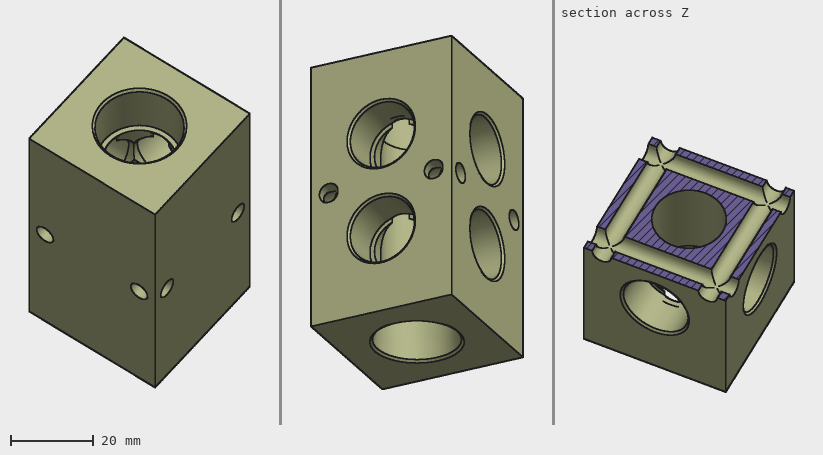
import cadquery as cq

width = 38.1
height = 69.85

passage_diameter = 17.9
end_mouth_diameter = 22.8
end_rim_diameter = 21.5
end_floor_diameter = 20.75
end_depth = 13.7

side_mouth_diameter = 18.5
side_rim_diameter = 17.3
side_floor_diameter = 16.7
side_depth = 10.4
side_drill_diameter = 14.25
side_spacing = 25.6

mount_diameter = 5.0
mount_spacing = 28.4


def tapered_port(mouth_diameter, rim_diameter, floor_diameter, depth):
    """Port cutter with its mouth at Z = 0, going down: 45 degree chamfer, then a taper."""
    chamfer = (mouth_diameter - rim_diameter) / 2
    return (
        cq.Workplane("XZ")
        .moveTo(0, 0)
        .lineTo(mouth_diameter / 2, 0)
        .lineTo(rim_diameter / 2, -chamfer)
        .lineTo(floor_diameter / 2, -depth)
        .lineTo(0, -depth)
        .close()
        .revolve(360, (0, 0, 0), (0, 1, 0))
    )


def side_port():
    """Side port cutter, with a drilling that reaches the main passage axis."""
    taper = tapered_port(side_mouth_diameter, side_rim_diameter, side_floor_diameter, side_depth)
    drilling = cq.Workplane("XY").circle(side_drill_diameter / 2).extrude(-width / 2)
    return taper.union(drilling)


result = cq.Workplane("XY").box(width, width, height)
result = result.cut(cq.Workplane("XY").circle(passage_diameter / 2).extrude(height / 2, both=True))

end_port = tapered_port(end_mouth_diameter, end_rim_diameter, end_floor_diameter, end_depth)
top_port = end_port.translate((0, 0, height / 2))
result = result.cut(top_port).cut(top_port.mirror("XY"))

left_port = side_port().rotate((0, 0, 0), (0, 1, 0), -90).translate((-width / 2, 0, 0))
back_port = left_port.rotate((0, 0, 0), (0, 0, 1), -90)
for z in (-side_spacing / 2, side_spacing / 2):
    result = result.cut(left_port.translate((0, 0, z)))
    result = result.cut(back_port.translate((0, 0, z)))

for plane in ("XZ", "YZ"):
    mount_holes = (
        cq.Workplane(plane)
        .pushPoints([(-mount_spacing / 2, 0), (mount_spacing / 2, 0)])
        .circle(mount_diameter / 2)
        .extrude(width / 2, both=True)
    )
    result = result.cut(mount_holes)